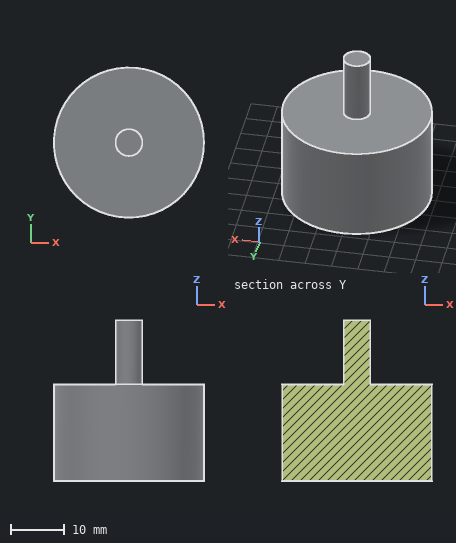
import cadquery as cq

total_height = 30.0
body_height = 18.0
body_diameter = 28.0
stud_diameter = 5.0

stud_length = total_height - body_height

body = cq.Workplane("XY").circle(body_diameter / 2).extrude(body_height)

result = body.faces(">Z").workplane().circle(stud_diameter / 2).extrude(stud_length)